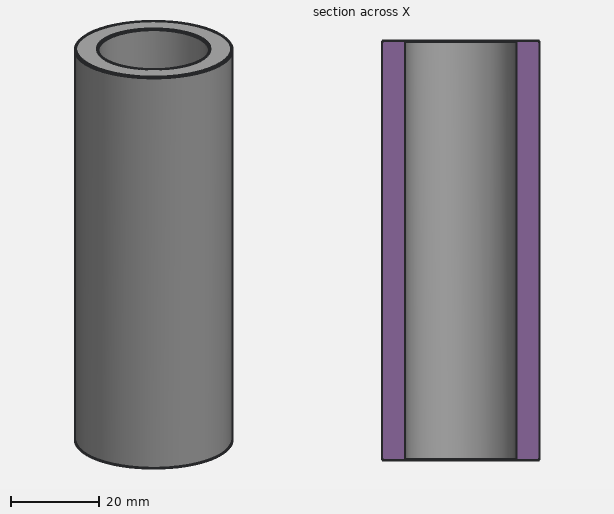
import cadquery as cq

length = 95.0
outer_diameter = 35.7
bore_diameter = 25.1
edge_chamfer = 0.3

outer_radius = outer_diameter / 2
bore_radius = bore_diameter / 2

tube = (
    cq.Workplane("XY", origin=(0, 0, -length / 2))
    .circle(outer_radius)
    .circle(bore_radius)
    .extrude(length)
)

result = tube.faces("|Z").edges().chamfer(edge_chamfer)